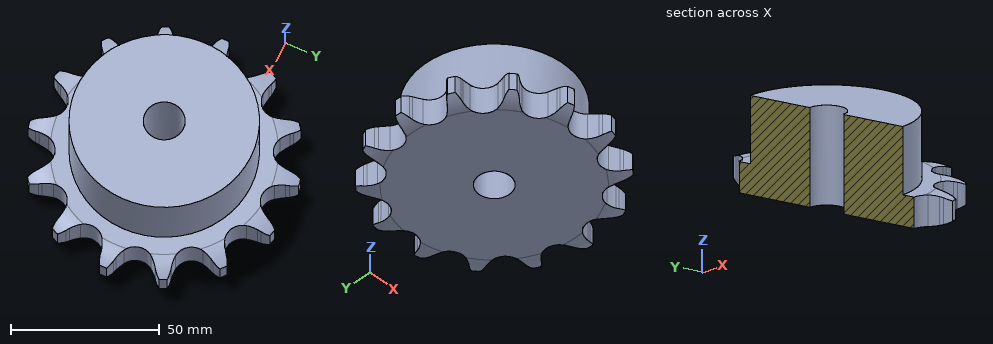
import cadquery as cq
import math

tooth_count = 14
outer_diameter = 93.6
pitch_diameter = 85.55
plate_thickness = 11.1
total_height = 35.0
hub_diameter = 64.0
bore_diameter = 14.0

rounding_depth = 8.4
rounding_radius = 19.0

seating_radius = 6.1
working_center_offset = 9.6
straight_length = 1.3
tip_arc_radius = 10.1
tip_arc_sweep = 45.0
seating_end_angle = 39.3
working_sweep = 14.0
gap_overrun = 1.9

outer_radius = outer_diameter / 2
tooth_pitch_angle = 360.0 / tooth_count


def polar_point(center, radius, angle):
    """Point at a radius and an angle in degrees from a center."""
    x, y = center
    turn = math.radians(angle)
    return (x + radius * math.cos(turn), y + radius * math.sin(turn))


def mirrored(point):
    return (-point[0], point[1])


def make_blank():
    """Plain disc with both faces rounded down toward the rim."""
    flat_radius = outer_radius - rounding_depth
    mid_depth = rounding_depth / 2

    def drop(depth):
        return rounding_radius - math.sqrt(rounding_radius**2 - depth**2)

    mid_drop = drop(mid_depth)
    rim_drop = drop(rounding_depth)
    mid_radius = flat_radius + mid_depth
    return (
        cq.Workplane("XZ")
        .lineTo(flat_radius, 0)
        .threePointArc((mid_radius, mid_drop), (outer_radius, rim_drop))
        .lineTo(outer_radius, plate_thickness - rim_drop)
        .threePointArc((mid_radius, plate_thickness - mid_drop), (flat_radius, plate_thickness))
        .lineTo(0, plate_thickness)
        .close()
        .revolve(360, (0, 0, 0), (0, 1, 0))
    )


def make_gap():
    """Cutter for one tooth gap, symmetric about the +Y axis."""
    seat_center = (0, pitch_diameter / 2)
    seat_bottom = polar_point(seat_center, seating_radius, -90)
    seat_end = polar_point(seat_center, seating_radius, -seating_end_angle)

    working_radius = working_center_offset + seating_radius
    working_center = polar_point(seat_center, working_center_offset, 180 - seating_end_angle)
    flank_angle = working_sweep - seating_end_angle
    working_mid = polar_point(working_center, working_radius, flank_angle - working_sweep / 2)
    working_end = polar_point(working_center, working_radius, flank_angle)

    straight_end = polar_point(working_end, straight_length, flank_angle + 90)
    tip_center = polar_point(straight_end, tip_arc_radius, flank_angle)
    tip_start_angle = flank_angle + 180
    tip_mid = polar_point(tip_center, tip_arc_radius, tip_start_angle - tip_arc_sweep / 2)
    tip_end = polar_point(tip_center, tip_arc_radius, tip_start_angle - tip_arc_sweep)
    gap_top = (tip_end[0], outer_radius + gap_overrun)

    return (
        cq.Workplane("XY")
        .moveTo(*gap_top)
        .lineTo(*tip_end)
        .threePointArc(tip_mid, straight_end)
        .lineTo(*working_end)
        .threePointArc(working_mid, seat_end)
        .threePointArc(seat_bottom, mirrored(seat_end))
        .threePointArc(mirrored(working_mid), mirrored(working_end))
        .lineTo(*mirrored(straight_end))
        .threePointArc(mirrored(tip_mid), mirrored(tip_end))
        .lineTo(*mirrored(gap_top))
        .close()
        .extrude(plate_thickness)
    )


def make_toothed_plate():
    plate = make_blank()
    gap = make_gap()
    for index in range(tooth_count):
        plate = plate.cut(gap.rotate((0, 0, 0), (0, 0, 1), index * tooth_pitch_angle))
    return plate


def make_hub():
    return cq.Workplane("XY").circle(hub_diameter / 2).extrude(total_height)


def make_bore():
    return cq.Workplane("XY").circle(bore_diameter / 2).extrude(total_height)


result = make_toothed_plate().union(make_hub()).cut(make_bore())